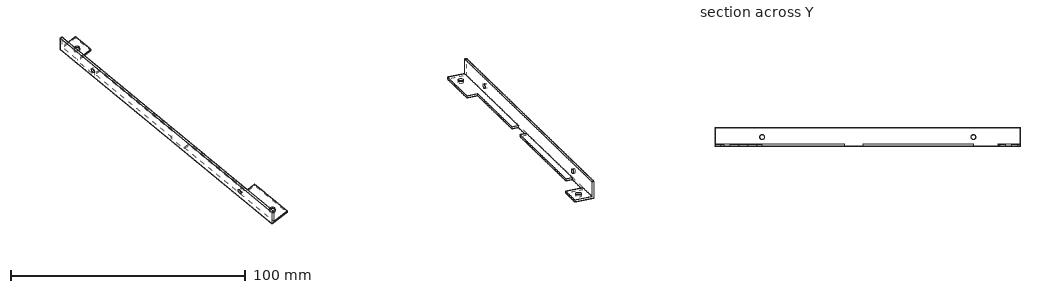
import cadquery as cq

length = 130.0
depth = 9.0
height = 8.0
thickness = 1.0

left_tab_end = 9.5
left_ledge_start = 20.0
left_ledge_end = 67.0
right_ledge_start = 75.0
right_tab_start = 110.0
ledge_depth = 4.0

tab_hole_diameter = 2.5
tab_hole_inset = 5.0
tab_hole_y = 5.0
wall_hole_diameter = 2.0
wall_hole_inset = 20.0
wall_hole_z = height / 2


def flange(start, end, flange_depth):
    """Flat base segment reaching from the wall's outer face to flange_depth."""
    return cq.Workplane("XY").box(end - start, flange_depth, thickness, centered=False).translate((start, 0, 0))


def mirrored_stations(inset):
    """X positions at the same inset from both ends of the strip."""
    return [inset, length - inset]


def make_angle_strip():
    wall = cq.Workplane("XY").box(length, thickness, height, centered=False)
    flanges = [
        (0, left_tab_end, depth),
        (left_ledge_start, left_ledge_end, ledge_depth),
        (right_ledge_start, right_tab_start, ledge_depth),
        (right_tab_start, length, depth),
    ]
    strip = wall
    for start, end, flange_depth in flanges:
        strip = strip.union(flange(start, end, flange_depth))
    return strip.clean()


def tab_holes():
    """Vertical through holes in the two end tabs."""
    centers = [(x, tab_hole_y) for x in mirrored_stations(tab_hole_inset)]
    return cq.Workplane("XY").pushPoints(centers).circle(tab_hole_diameter / 2).extrude(thickness)


def wall_holes():
    """Horizontal through holes in the upright wall."""
    centers = [(x, wall_hole_z) for x in mirrored_stations(wall_hole_inset)]
    return cq.Workplane("XZ").pushPoints(centers).circle(wall_hole_diameter / 2).extrude(-thickness)


result = make_angle_strip().cut(tab_holes()).cut(wall_holes())